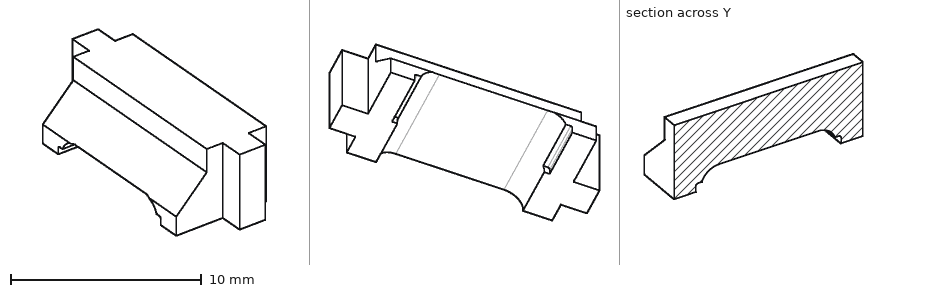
import cadquery as cq

length = 14.7
depth = 5.9
height = 4.6

body_length = 11.73
top_depth = 3.9
front_lip_height = 1.18
slope_rise = depth - top_depth

tab_width = 1.69
tab_back_offset = 1.16

arch_width = 8.38
arch_height = 1.23
arch_radius = 1.1

relief_width = 9.0
relief_height = 0.5
relief_corner_radius = 0.12
relief_depth = depth - tab_back_offset - tab_width


def make_body():
    """Block with a vertical front lip below a 45 degree slope."""
    slope_top = front_lip_height + slope_rise
    profile = [
        (0, 0),
        (-depth, 0),
        (-depth, front_lip_height),
        (-top_depth, slope_top),
        (-top_depth, height),
        (0, height),
    ]
    return cq.Workplane("YZ").polyline(profile).close().extrude(body_length / 2, both=True)


def make_tabs():
    """Full-height bar whose ends stand out beyond the body."""
    tab_centre_y = -(tab_back_offset + tab_width / 2)
    return (
        cq.Workplane("XY")
        .center(0, tab_centre_y)
        .rect(length, tab_width)
        .extrude(height)
    )


def make_passage(width, opening_height, corner_radius, cut_depth):
    """Cutter running back from the front face, with two rounded top corners."""
    return (
        cq.Workplane("XY")
        .box(width, cut_depth, opening_height, centered=(True, False, False))
        .edges("|Y and >Z")
        .fillet(corner_radius)
        .translate((0, -depth, 0))
    )


arch = make_passage(arch_width, arch_height, arch_radius, depth)
relief = make_passage(relief_width, relief_height, relief_corner_radius, relief_depth)

result = make_body().union(make_tabs()).cut(arch).cut(relief)